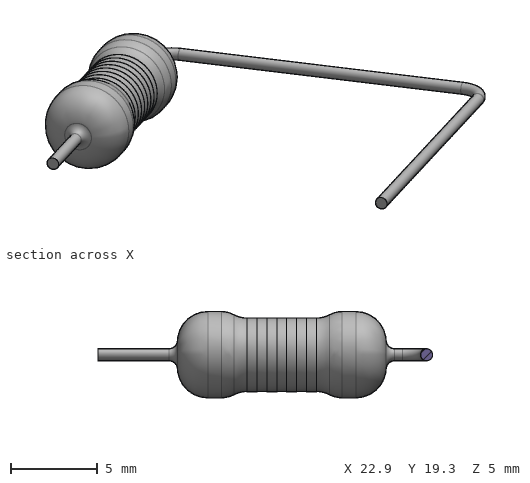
import cadquery as cq
import math


lead_radius = 0.7 / 2
lead_pitch = 20.0
bend_radius = 1.4
lead_tip_y = -10.63
top_lead_y = 8.36

cap_radius = 5.0 / 2
body_half_length = 6.03
dome_radius = 1.75
root_fillet = 0.48
cap_inner_y = 3.47
shoulder_middle_y = 2.76

waist_radius = 4.25 / 2
band_radius = 4.27 / 2
band_count = 4
band_width = 0.57
section_count = 2 * band_count - 1
waist_half_length = section_count * band_width / 2


def convex_concave_shoulder():
    """Return mid-arc, meeting and mid-arc points of the S-shaped shoulder."""
    convex_length = cap_inner_y - shoulder_middle_y
    shoulder_length = cap_inner_y - waist_half_length
    drop = cap_radius - waist_radius
    meeting_radius = cap_radius - drop * convex_length / shoulder_length
    turn = 2 * math.atan(drop / shoulder_length)
    convex_arc_radius = convex_length / math.sin(turn)
    concave_arc_radius = (shoulder_length - convex_length) / math.sin(turn)
    along = math.sin(turn / 2)
    across = 1 - math.cos(turn / 2)
    convex_mid = (
        cap_radius - convex_arc_radius * across,
        cap_inner_y - convex_arc_radius * along,
    )
    concave_mid = (
        waist_radius + concave_arc_radius * across,
        waist_half_length + concave_arc_radius * along,
    )
    return convex_mid, (meeting_radius, shoulder_middle_y), concave_mid


def make_end():
    """Revolve the +Y end: shoulder, cap, dome and lead root."""
    convex_mid, meeting, concave_mid = convex_concave_shoulder()
    dome_x = cap_radius - dome_radius
    dome_y = body_half_length - dome_radius

    fillet_x = lead_radius + root_fillet
    centre_distance = dome_radius + root_fillet
    offset_x = fillet_x - dome_x
    offset_y = math.sqrt(centre_distance**2 - offset_x**2)
    fillet_y = dome_y + offset_y
    contact = (
        dome_x + offset_x * dome_radius / centre_distance,
        dome_y + offset_y * dome_radius / centre_distance,
    )
    diagonal = math.sqrt(0.5)
    dome_mid = (dome_x + dome_radius * diagonal, dome_y + dome_radius * diagonal)
    fillet_mid = (fillet_x - root_fillet * diagonal, fillet_y - root_fillet * diagonal)

    return (
        cq.Workplane("XY")
        .moveTo(0, waist_half_length)
        .lineTo(waist_radius, waist_half_length)
        .threePointArc(concave_mid, meeting)
        .threePointArc(convex_mid, (cap_radius, cap_inner_y))
        .lineTo(cap_radius, dome_y)
        .threePointArc(dome_mid, contact)
        .threePointArc(fillet_mid, (lead_radius, fillet_y))
        .lineTo(0, fillet_y)
        .close()
        .revolve(360, (0, 0, 0), (0, 1, 0))
    )


def make_waist():
    """Make the plain cylinder between the two shoulders."""
    start = cq.Workplane("XZ", origin=(0, -waist_half_length, 0))
    return start.circle(waist_radius).extrude(-2 * waist_half_length)


def make_bands():
    """Raise evenly spaced bands slightly above the waist."""
    bands = cq.Workplane("XZ")
    for index in range(band_count):
        start_y = -waist_half_length + 2 * index * band_width
        band = (
            cq.Workplane("XZ", origin=(0, start_y, 0))
            .circle(band_radius)
            .extrude(-band_width)
        )
        bands = bands.add(band)
    return bands.combine()


def make_lead():
    """Sweep one wire through the body, round two bends and back down."""
    bend_start_y = top_lead_y - bend_radius
    bend_mid = bend_radius * (1 - math.sqrt(0.5))
    path = (
        cq.Workplane("XY")
        .moveTo(0, lead_tip_y)
        .lineTo(0, bend_start_y)
        .threePointArc((bend_mid, top_lead_y - bend_mid), (bend_radius, top_lead_y))
        .lineTo(lead_pitch - bend_radius, top_lead_y)
        .threePointArc(
            (lead_pitch - bend_mid, top_lead_y - bend_mid),
            (lead_pitch, bend_start_y),
        )
        .lineTo(lead_pitch, lead_tip_y)
    )
    start = cq.Workplane("XZ", origin=(0, lead_tip_y, 0))
    return start.circle(lead_radius).sweep(path)


body_end = make_end()
body = make_waist().union(body_end).union(body_end.mirror("XZ"))
result = body.union(make_bands()).union(make_lead())